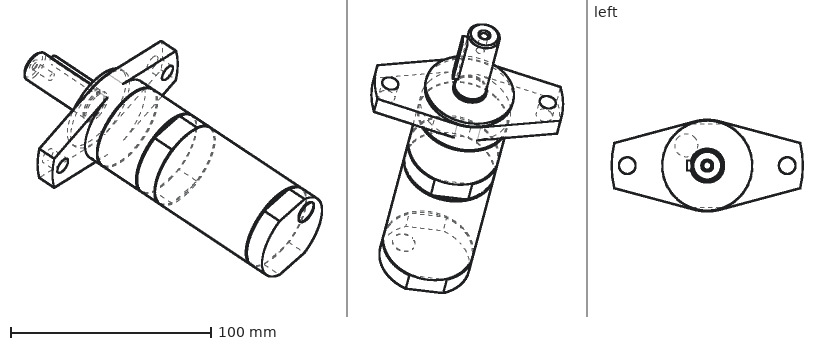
import cadquery as cq
import math

length = 171.5
body_dia = 46.0
body_radius = body_dia / 2

shoulder_start = 39.8
collar_start = 40.8
pilot_start = 41.8
flange_start = 44.0
front_body_start = 61.7
neck_start = 88.2
rear_body_start = 99.8
end_cap_start = 160.7
end_cap_end = 171.0

shaft_dia = 16.0
shaft_chamfer = 1.0
shoulder_dia = 16.3
collar_dia = 17.0
centre_hole_dia = 4.1
centre_hole_depth = 12.0
countersink_dia = 6.0
drill_tip_angle = 118
countersink_angle = 90

key_start = 4.0
key_length = 30.0
key_width = 5.0
key_top = 10.1
key_bottom = 5.1

pilot_dia = 45.0
flange_width = 95.7
flange_thickness = 10.0
flange_taper_angle = 15
bolt_spacing = 80.0
bolt_hole_dia = 8.2

joint_chamfer = 0.5
across_flats = 41.8

pad_dia = 11.5
pad_y = 10.5
pad_z = 10.1


def cylinder(dia, start, end, y=0, z=0):
    """Solid cylinder along X between two stations."""
    plane = cq.Workplane("YZ", origin=(start, y, z))
    return plane.circle(dia / 2).extrude(end - start)


def flatted_section(start, end):
    """Body section with a wrench flat on its top and bottom."""
    slab = cq.Workplane("XY").box(
        end - start, body_dia, across_flats, centered=(False, True, True)
    )
    return cylinder(body_dia, start, end).intersect(slab.translate((start, 0, 0)))


def make_shaft():
    """Shaft with a chamfered tip and two small steps at its root."""
    shaft_radius = shaft_dia / 2
    shoulder_radius = shoulder_dia / 2
    collar_radius = collar_dia / 2
    profile = [
        (0, 0),
        (0, shaft_radius - shaft_chamfer),
        (shaft_chamfer, shaft_radius),
        (shoulder_start, shaft_radius),
        (shoulder_start, shoulder_radius),
        (collar_start, shoulder_radius),
        (collar_start, collar_radius),
        (pilot_start, collar_radius),
        (pilot_start, 0),
    ]
    return cq.Workplane("XY").polyline(profile).close().revolve(360, (0, 0, 0), (1, 0, 0))


def make_key():
    """Round-ended key on the +Y side of the shaft."""
    plane = cq.Workplane("XZ", origin=(key_start + key_length / 2, key_top, 0))
    return plane.slot2D(key_length, key_width).extrude(key_top - key_bottom)


def make_centre_hole():
    """Countersunk drilled hole in the tip of the shaft, with a conical bottom."""
    hole_radius = centre_hole_dia / 2
    sink_radius = countersink_dia / 2
    sink_depth = (sink_radius - hole_radius) / math.tan(math.radians(countersink_angle / 2))
    tip_length = hole_radius / math.tan(math.radians(drill_tip_angle / 2))
    profile = [
        (0, 0),
        (0, sink_radius),
        (sink_depth, hole_radius),
        (centre_hole_depth, hole_radius),
        (centre_hole_depth + tip_length, 0),
    ]
    return cq.Workplane("XY").polyline(profile).close().revolve(360, (0, 0, 0), (1, 0, 0))


def make_flange():
    """Two-bolt flange: sides tangent to the body, ends on a circle about the axis.

    The hub of the body rounds off its short flat top and bottom.
    """
    taper = math.radians(flange_taper_angle)
    end_radius = flange_width / 2
    tangent_y = body_radius * math.sin(taper)
    tangent_z = body_radius * math.cos(taper)
    corner_angle = math.pi / 2 - taper - math.acos(body_radius / end_radius)
    corner_y = end_radius * math.cos(corner_angle)
    corner_z = end_radius * math.sin(corner_angle)
    flange = (
        cq.Workplane("YZ", origin=(flange_start, 0, 0))
        .moveTo(tangent_y, tangent_z)
        .lineTo(corner_y, corner_z)
        .threePointArc((end_radius, 0), (corner_y, -corner_z))
        .lineTo(tangent_y, -tangent_z)
        .lineTo(-tangent_y, -tangent_z)
        .lineTo(-corner_y, -corner_z)
        .threePointArc((-end_radius, 0), (-corner_y, corner_z))
        .lineTo(-tangent_y, tangent_z)
        .close()
        .extrude(flange_thickness)
    )
    for side in (-1, 1):
        bolt_y = side * bolt_spacing / 2
        hole = cylinder(bolt_hole_dia, flange_start, flange_start + flange_thickness, y=bolt_y)
        flange = flange.cut(hole)
    return flange


def make_body():
    """Pilot, housing sections with chamfered joints, flatted neck and end cap."""
    pilot = cylinder(pilot_dia, pilot_start, flange_start)
    flange_hub = cylinder(body_dia, flange_start, front_body_start)
    front_body = cylinder(body_dia, front_body_start, neck_start).edges().chamfer(joint_chamfer)
    neck = flatted_section(neck_start, rear_body_start)
    rear_body = cylinder(body_dia, rear_body_start, end_cap_start).edges().chamfer(joint_chamfer)
    end_cap = flatted_section(end_cap_start, end_cap_end)
    pad = cylinder(pad_dia, end_cap_end, length, y=pad_y, z=pad_z)
    body = pilot
    for section in (flange_hub, front_body, neck, rear_body, end_cap, pad):
        body = body.union(section)
    return body


result = make_body().union(make_flange()).union(make_shaft()).union(make_key()).cut(make_centre_hole())